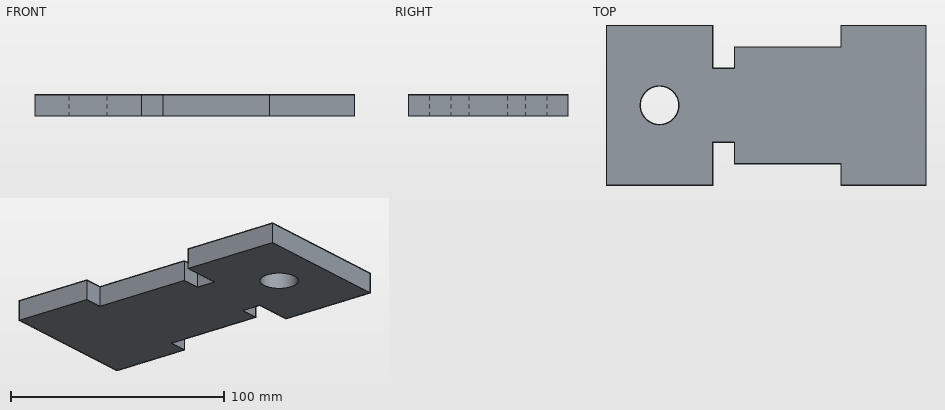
import cadquery as cq

length = 150.0
width = 75.0
thickness = 10.0

head_length = 50.0
neck_length = 10.0
waist_length = head_length

waist_inset = 10.0
neck_inset = 2 * waist_inset

hole_diameter = 18.0

head_start = -length / 2
neck_start = head_start + head_length
waist_start = neck_start + neck_length

hole_x = head_start + head_length / 2


def side_recesses(start_x, recess_length, inset):
    """Matching rectangular cuts through both long sides of the plate."""
    middle_x = start_x + recess_length / 2
    middle_y = (width - inset) / 2
    return (
        cq.Workplane("XY")
        .pushPoints([(middle_x, -middle_y), (middle_x, middle_y)])
        .rect(recess_length, inset)
        .extrude(thickness)
    )


plate = cq.Workplane("XY").box(length, width, thickness, centered=(True, True, False))
neck_cuts = side_recesses(neck_start, neck_length, neck_inset)
waist_cuts = side_recesses(waist_start, waist_length, waist_inset)
hole = cq.Workplane("XY").center(hole_x, 0).circle(hole_diameter / 2).extrude(thickness)

result = plate.cut(neck_cuts).cut(waist_cuts).cut(hole)